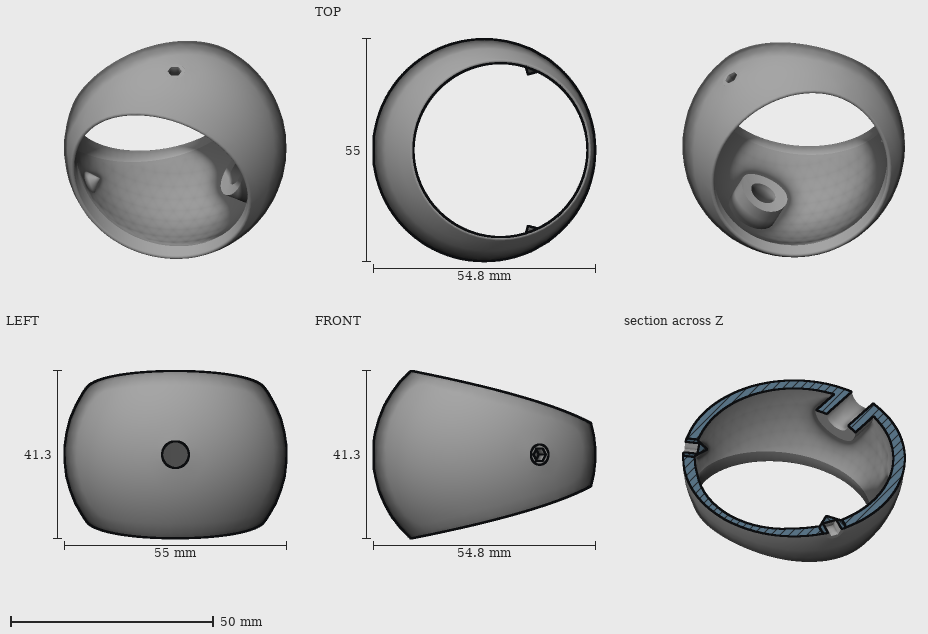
import cadquery as cq
import math

OUTER_RADIUS = 27.5
CAVITY_RADIUS = 24.55
BORE_RADIUS = 21.45
BORE_OFFSET = 4.0
RIM_FILLET = 0.5
SIDE_HOLE_DIAMETER = 6.6
SIDE_BOSS_WALL = OUTER_RADIUS - CAVITY_RADIUS

SCREW_DIAMETER = 6.0
SCREW_CHAMFER = 0.5
SCREW_ANGLES = (60.0, -60.0)
SCREW_HEAD_DISTANCE = 27.4
SCREW_TIP_DISTANCE = 21.55
SOCKET_ACROSS_FLATS = 3.0
SOCKET_DEPTH = 3.45

SCREW_RADIUS = SCREW_DIAMETER / 2
SCREW_HEAD_RADIUS = SCREW_RADIUS - SCREW_CHAMFER
SCREW_LENGTH = SCREW_HEAD_DISTANCE - SCREW_TIP_DISTANCE
CONE_LENGTH = SCREW_RADIUS
SOCKET_ACROSS_CORNERS = SOCKET_ACROSS_FLATS / math.cos(math.radians(30))


def inward_plane(angle, distance):
    """Plane at a distance from the origin, facing it; local X is horizontal."""
    a = math.radians(angle)
    outward = cq.Vector(math.cos(a), math.sin(a), 0)
    tangent = (-math.sin(a), math.cos(a), 0)
    return cq.Plane(origin=outward * distance, xDir=tangent, normal=outward * -1)


def make_bored_sphere():
    bore = (
        cq.Workplane("XY")
        .center(BORE_OFFSET, 0)
        .circle(BORE_RADIUS)
        .extrude(OUTER_RADIUS, both=True)
    )
    bored = cq.Workplane("XY").sphere(OUTER_RADIUS).cut(bore)
    return bored.edges(">Z or <Z").fillet(RIM_FILLET)


def make_screw_blank(angle):
    """Set screw without its socket: chamfered outer end, plain shank, cone point."""
    head = inward_plane(angle, SCREW_HEAD_DISTANCE)
    profile_plane = cq.Plane(origin=head.origin, xDir=head.xDir, normal=(0, 0, 1))
    return (
        cq.Workplane(profile_plane)
        .moveTo(0, 0)
        .lineTo(SCREW_HEAD_RADIUS, 0)
        .lineTo(SCREW_RADIUS, SCREW_CHAMFER)
        .lineTo(SCREW_RADIUS, SCREW_LENGTH - CONE_LENGTH)
        .lineTo(0, SCREW_LENGTH)
        .close()
        .revolve(360, (0, 0, 0), (0, 1, 0))
    )


def make_set_screw(angle):
    socket = (
        cq.Workplane(inward_plane(angle, SCREW_HEAD_DISTANCE))
        .polygon(6, SOCKET_ACROSS_CORNERS)
        .extrude(SOCKET_DEPTH)
    )
    return make_screw_blank(angle).cut(socket)


def make_screw_hole(angle):
    """Seat matching the screw, open outwards above its flat end."""
    opening = (
        cq.Workplane(inward_plane(angle, SCREW_HEAD_DISTANCE))
        .circle(SCREW_HEAD_RADIUS)
        .extrude(SCREW_HEAD_DISTANCE - OUTER_RADIUS - SCREW_CHAMFER)
    )
    return make_screw_blank(angle).union(opening)


def make_side_cylinder(radius):
    """Cylinder along the X axis, from the origin to the -X face."""
    return cq.Workplane("YZ").circle(radius).extrude(-OUTER_RADIUS)


def make_ring():
    side_hole_radius = SIDE_HOLE_DIAMETER / 2
    side_boss = make_side_cylinder(side_hole_radius + SIDE_BOSS_WALL)
    cavity = cq.Workplane("XY").sphere(CAVITY_RADIUS).cut(side_boss)
    ring = make_bored_sphere().cut(cavity).cut(make_side_cylinder(side_hole_radius))
    for angle in SCREW_ANGLES:
        ring = ring.cut(make_screw_hole(angle))
    return ring


ring = make_ring()
set_screws = [make_set_screw(angle) for angle in SCREW_ANGLES]

result = cq.Compound.makeCompound([ring.val(), *[screw.val() for screw in set_screws]])